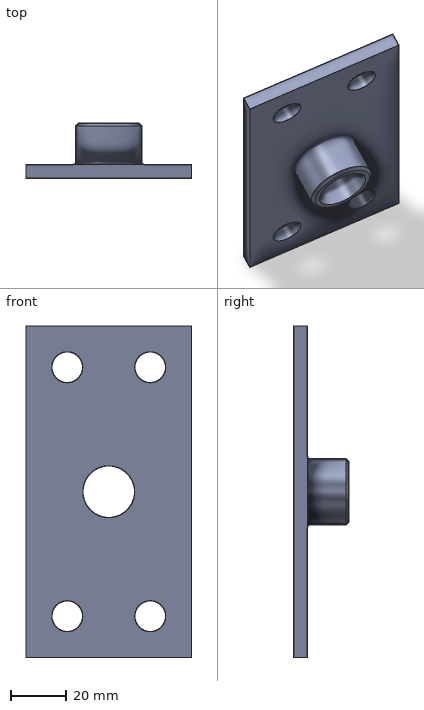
import cadquery as cq

plate_width = 60
plate_height = 120
plate_thickness = 5.0

total_depth = 20.0
boss_diameter = 24
bore_diameter = 18.6
rim_chamfer = 1.1
base_fillet = 1.0

hole_diameter = 11.0
hole_spacing_x = plate_width / 2
hole_spacing_z = plate_height * 3 / 4


def make_plate():
    return cq.Workplane("XY").box(
        plate_width, plate_thickness, plate_height, centered=(True, False, True)
    )


def make_boss():
    """Revolve the boss, with its concave base fillet and chamfered rim, about the Y axis."""
    radius = boss_diameter / 2
    profile = (
        cq.Workplane("XY")
        .lineTo(radius + base_fillet, 0)
        .lineTo(radius + base_fillet, plate_thickness)
        .radiusArc((radius, plate_thickness + base_fillet), base_fillet)
        .lineTo(radius, total_depth - rim_chamfer)
        .lineTo(radius - rim_chamfer, total_depth)
        .lineTo(0, total_depth)
        .close()
    )
    return profile.revolve(360, (0, 0), (0, 1))


def make_holes():
    """Cylinders for the central bore and the four mounting holes."""
    bore = cq.Workplane("XZ").circle(bore_diameter / 2).extrude(-total_depth)
    mounting_holes = (
        cq.Workplane("XZ")
        .rect(hole_spacing_x, hole_spacing_z, forConstruction=True)
        .vertices()
        .circle(hole_diameter / 2)
        .extrude(-plate_thickness)
    )
    return bore.add(mounting_holes).combine()


result = make_plate().union(make_boss()).cut(make_holes())